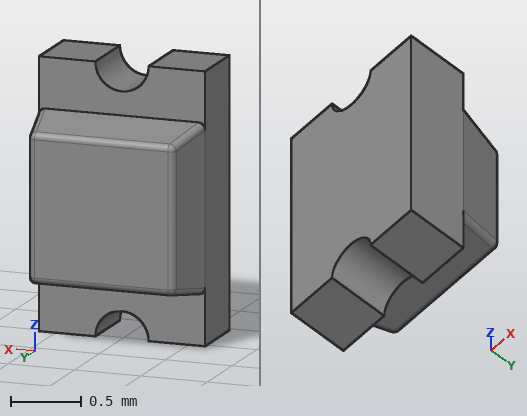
import cadquery as cq

body_width = 1.25
body_height = 2.0
body_depth = 0.5
lens_depth = 0.42

notch_radius = 0.2

lens_side = body_width
lens_draft = 11.0
lens_fillet = 0.05


def make_body():
    """Rectangular block with a half-round notch through each end."""
    body = cq.Workplane("XY").box(body_width, body_depth, body_height, centered=(True, False, True))
    notches = (
        cq.Workplane("XZ")
        .pushPoints([(0, body_height / 2), (0, -body_height / 2)])
        .circle(notch_radius)
        .extrude(-body_depth)
    )
    return body.cut(notches)


def make_lens():
    """Tapered lens with rounded corners and a rounded top edge."""
    lens = (
        cq.Workplane("XZ", origin=(0, body_depth, 0))
        .rect(lens_side, lens_side)
        .extrude(-lens_depth, taper=lens_draft)
    )
    return lens.edges("not <Y").fillet(lens_fillet)


result = make_body().union(make_lens())